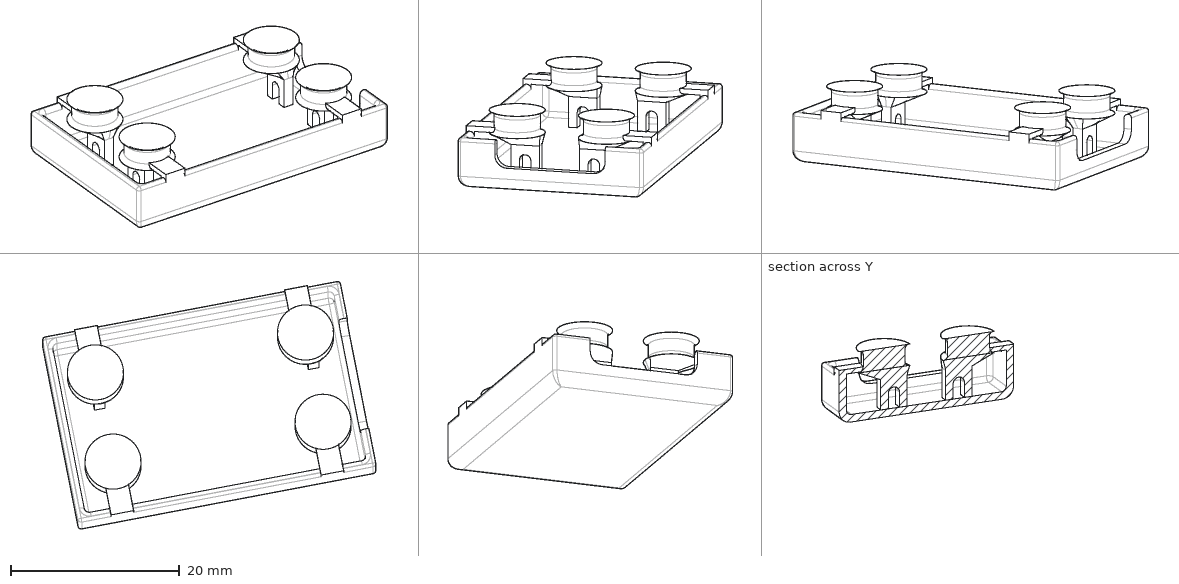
import cadquery as cq
import math

LENGTH = 36.0
WIDTH = 22.8
RIM_HEIGHT = 6.12
WALL = 1.0
FLOOR = 1.0
BOTTOM_RADIUS = 1.5
OUTER_EDGE_RADIUS = 0.4
CAVITY_EDGE_RADIUS = 0.6
RIM_INNER_RADIUS = 0.58

NOTCH_WIDTH = 13.57
NOTCH_BOTTOM = 2.85
NOTCH_CORNER_RADIUS = 1.5

TOTAL_HEIGHT = 8.75
SPOOL_HEIGHT = 2.75
NECK_RADIUS = 5.5 / 2
FLARE_RADIUS = 0.58
FLANGE_EDGE = 0.018
SPOOL_SPACING_X = 10.98
SPOOL_SPACING_Y = 25.38
FLANGE_RADIUS = NECK_RADIUS + FLARE_RADIUS
SPOOL_BOTTOM = TOTAL_HEIGHT - SPOOL_HEIGHT

ARM_WIDTH = 2.75
ARM_TOP = 6.75
ARM_ROOT_BOTTOM = RIM_HEIGHT - CAVITY_EDGE_RADIUS

POST_WIDTH = 3.5
POST_THICKNESS = 1.3
POST_SPACING_X = 8.45
POST_SPACING_Y = 25.85
POST_SHIFT_Y = 0.18
POST_HEAD_HEIGHT = 1.25
POST_SLOT_WIDTH = 1.4
POST_SLOT_TOP = 3.6
POST_HEAD_BOTTOM = SPOOL_BOTTOM - POST_HEAD_HEIGHT

SIDES = (-1, 1)


def block(size_x, size_y, bottom, top):
    """A box centred on the Z axis, between two heights."""
    base = cq.Workplane("XY", origin=(0, 0, bottom))
    return base.box(size_x, size_y, top - bottom, centered=(True, True, False))


def make_shell():
    """The walls and floor with all their rounded edges."""
    outside = block(WIDTH, LENGTH, 0, RIM_HEIGHT)
    outside = outside.faces("<Z").edges().fillet(BOTTOM_RADIUS)
    outside = outside.edges("|Z").fillet(OUTER_EDGE_RADIUS)

    cavity = block(WIDTH - 2 * WALL, LENGTH - 2 * WALL, FLOOR, RIM_HEIGHT)
    cavity = cavity.edges("|Z or <Z").fillet(CAVITY_EDGE_RADIUS)

    shell = outside.cut(cavity).val()
    rim = cq.Workplane(shell).faces(">Z").val()
    shell = shell.fillet(OUTER_EDGE_RADIUS, rim.outerWire().Edges())
    rim = cq.Workplane(shell).faces(">Z").val()
    shell = shell.fillet(RIM_INNER_RADIUS, rim.innerWires()[0].Edges())
    return cq.Workplane(shell)


def make_notch():
    """The cutter for the round-cornered opening in the rear wall."""
    notch = block(NOTCH_WIDTH, 2 * WALL, NOTCH_BOTTOM, ARM_TOP)
    notch = notch.edges("|Y and <Z").fillet(NOTCH_CORNER_RADIUS)
    return notch.translate((0, LENGTH / 2, 0))


def make_arm(side, y):
    """A flat arm from the side wall to the spool's axis, with a root that fills the rounded rim."""
    inner_end = SPOOL_SPACING_X / 2
    outer_end = WIDTH / 2
    arm = block(outer_end - inner_end, ARM_WIDTH, RIM_HEIGHT, ARM_TOP)
    arm = arm.translate((side * (inner_end + outer_end) / 2, y, 0))
    root = block(WALL, ARM_WIDTH, ARM_ROOT_BOTTOM, ARM_TOP)
    root = root.translate((side * (outer_end - WALL / 2), y, 0))
    return arm.union(root)


def make_spool(x, y):
    """A neck whose ends flare in quarter circles to thin-edged flanges."""
    arc_middle = FLARE_RADIUS * (1 - math.sqrt(0.5))
    low_edge = SPOOL_BOTTOM + FLANGE_EDGE
    high_edge = TOTAL_HEIGHT - FLANGE_EDGE
    profile = (
        cq.Workplane("XZ")
        .moveTo(0, SPOOL_BOTTOM)
        .lineTo(FLANGE_RADIUS, SPOOL_BOTTOM)
        .lineTo(FLANGE_RADIUS, low_edge)
        .threePointArc(
            (NECK_RADIUS + arc_middle, low_edge + arc_middle),
            (NECK_RADIUS, low_edge + FLARE_RADIUS),
        )
        .lineTo(NECK_RADIUS, high_edge - FLARE_RADIUS)
        .threePointArc(
            (NECK_RADIUS + arc_middle, high_edge - arc_middle),
            (FLANGE_RADIUS, high_edge),
        )
        .lineTo(FLANGE_RADIUS, TOTAL_HEIGHT)
        .lineTo(0, TOTAL_HEIGHT)
        .close()
    )
    return profile.revolve(360, (0, 0, 0), (0, 1, 0)).translate((x, y, 0))


def make_post(x, y, spool_x, spool_y):
    """A leg with an arched slot, lofted at its top to the round underside of the spool."""
    leg = block(POST_WIDTH, POST_THICKNESS, FLOOR, POST_HEAD_BOTTOM)

    slot_radius = POST_SLOT_WIDTH / 2
    arch_centre = POST_SLOT_TOP - slot_radius
    slot = block(POST_SLOT_WIDTH, POST_THICKNESS, FLOOR, arch_centre)
    arch = cq.Workplane("XZ", origin=(0, 0, arch_centre)).circle(slot_radius)
    leg = leg.cut(slot).cut(arch.extrude(POST_THICKNESS, both=True))

    head = (
        cq.Workplane("XY", origin=(0, 0, POST_HEAD_BOTTOM))
        .rect(POST_WIDTH, POST_THICKNESS)
        .workplane(offset=POST_HEAD_HEIGHT)
        .center(spool_x - x, spool_y - y)
        .circle(FLANGE_RADIUS)
        .loft(ruled=True)
    )
    return leg.union(head).translate((x, y, 0))


tray = make_shell().cut(make_notch())
spools = []
posts = []
for side in SIDES:
    for end in SIDES:
        spool_x = side * SPOOL_SPACING_X / 2
        spool_y = end * SPOOL_SPACING_Y / 2
        post_x = side * POST_SPACING_X / 2
        post_y = end * POST_SPACING_Y / 2 + POST_SHIFT_Y

        spool = make_spool(spool_x, spool_y)
        tray = tray.union(make_arm(side, spool_y)).cut(spool)
        spools.append(spool.val())
        posts.append(make_post(post_x, post_y, spool_x, spool_y).val())

result = cq.Compound.makeCompound([tray.val(), *spools, *posts])